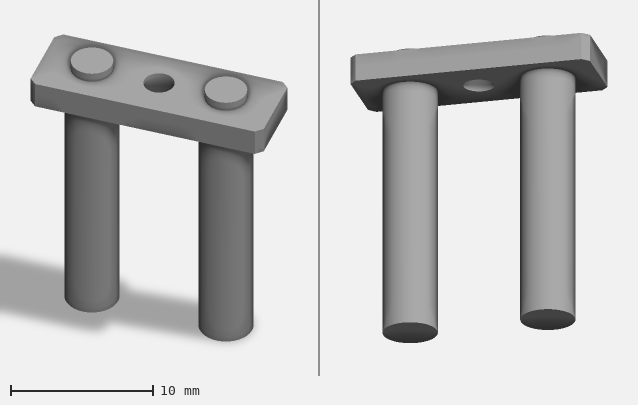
import cadquery as cq

plate_length = 17.4
plate_width = 6.0
plate_thickness = 2.0
corner_chamfer = 0.5
centre_hole_diameter = 2.2

pin_spacing = 10.0
shank_diameter = 3.9
neck_diameter = 3.0
overall_height = 21.0
neck_projection = 0.7
neck_length = plate_thickness + neck_projection
shank_length = overall_height - neck_length

pin_positions = [(-pin_spacing / 2, 0), (pin_spacing / 2, 0)]


def make_plate():
    """Plate with chamfered corners, a centre hole and one hole for each pin neck."""
    return (
        cq.Workplane("XY")
        .rect(plate_length, plate_width)
        .extrude(plate_thickness)
        .edges("|Z")
        .chamfer(corner_chamfer)
        .faces(">Z")
        .workplane(origin=(0, 0, plate_thickness))
        .hole(centre_hole_diameter)
        .faces(">Z")
        .workplane(origin=(0, 0, plate_thickness))
        .pushPoints(pin_positions)
        .hole(neck_diameter)
    )


def make_pin(x, y):
    """Stepped pin whose shoulder rests against the underside of the plate."""
    shank = cq.Workplane("XY").circle(shank_diameter / 2).extrude(-shank_length)
    neck = cq.Workplane("XY").circle(neck_diameter / 2).extrude(neck_length)
    return shank.union(neck).translate((x, y, 0))


plate = make_plate()
pins = [make_pin(x, y) for x, y in pin_positions]

result = cq.Compound.makeCompound([plate.val(), *[pin.val() for pin in pins]])